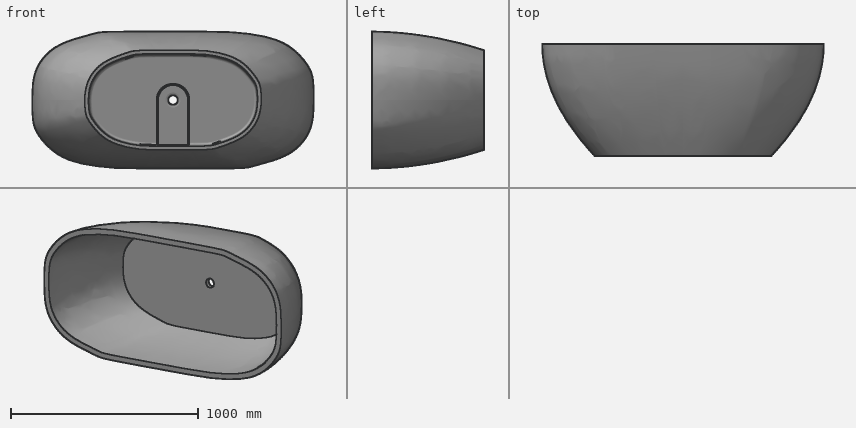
import cadquery as cq
import math

HEIGHT = 597.0
LENGTH = 1500.0
WIDTH = 730.0
FLAT_SHARE = 0.2

BASE_LENGTH, MID_LENGTH, RIM_LENGTH = 470.0, 680.0, LENGTH / 2
BASE_WIDTH, MID_WIDTH, RIM_WIDTH = 265.0, 339.0, WIDTH / 2
BASE_FULLNESS = 2.3
RIM_FULLNESS = 2.8
CURVE_STEPS = 4
SECTIONS = 5

BASE_LIP = 20.0
RECESS_DEPTH = 118.0
RECESS_DRAFT = 9.0
RECESS_FILLET = 10.0

WALL = 30.0
FLOOR_THICKNESS = 13.0
BOWL_FLOOR = RECESS_DEPTH + FLOOR_THICKNESS

PAD_RADIUS = 87.0
PAD_HEIGHT = 18.0
PAD_DRAFT = 7.0
PAD_FACE = RECESS_DEPTH - PAD_HEIGHT
DRAIN_RADIUS = 50.0 / 2
DRAIN_SEAT_RADIUS = 80.0 / 2
DRAIN_SEAT_DEPTH = 3.0


def through_three(low, middle, high, share):
    """Parabola through values at the base, mid height and rim."""
    bulge = middle - (low + high) / 2
    return low + (high - low) * share + 4 * bulge * share * (1 - share)


def half_length(y):
    return through_three(BASE_LENGTH, MID_LENGTH, RIM_LENGTH, y / HEIGHT)


def half_width(y):
    return through_three(BASE_WIDTH, MID_WIDTH, RIM_WIDTH, y / HEIGHT)


def oval(y, inset=0.0):
    """Oval wire at height y: straight long sides joined by full, rounded ends."""
    length = half_length(y) - inset
    width = half_width(y) - inset
    flat = FLAT_SHARE * half_length(y)
    fullness = BASE_FULLNESS + (RIM_FULLNESS - BASE_FULLNESS) * y / HEIGHT
    end_reach = length - flat

    def end_curve(side_x, side_z):
        """Points and end tangents of one rounded quarter, from the long side to the tip."""
        points = []
        for i in range(CURVE_STEPS + 1):
            angle = math.pi / 2 * i / CURVE_STEPS
            x = flat + end_reach * math.sin(angle) ** (2 / fullness)
            z = width * math.cos(angle) ** (2 / fullness)
            points.append(cq.Vector(side_x * x, y, side_z * z))
        return points, cq.Vector(side_x, 0, 0), cq.Vector(0, 0, -side_z)

    edges = []
    for side_x, side_z in ((1, 1), (1, -1), (-1, -1), (-1, 1)):
        points, along_side, at_tip = end_curve(side_x, side_z)
        center = cq.Vector(0, y, side_z * width)
        if side_x == side_z:
            edges.append(cq.Edge.makeLine(center, points[0]))
            edges.append(cq.Edge.makeSpline(points, tangents=[along_side, at_tip]))
        else:
            backward = [at_tip * -1, along_side * -1]
            edges.append(cq.Edge.makeSpline(points[::-1], tangents=backward))
            edges.append(cq.Edge.makeLine(points[0], center))
    return cq.Wire.assembleEdges(edges)


def skin(bottom, top, inset):
    """Solid inside the curved tub skin between two heights."""
    step = (top - bottom) / (SECTIONS - 1)
    wires = [oval(bottom + i * step, inset) for i in range(SECTIONS)]
    return cq.Workplane(obj=cq.Solid.makeLoft(wires))


def drain_pad():
    """Tapered U-shaped pad that hangs from the recess floor and runs to the -Z wall."""
    lower_end = BASE_WIDTH
    taper = math.degrees(math.atan(PAD_DRAFT / PAD_HEIGHT))
    profile = (
        cq.Workplane("XZ", origin=(0, RECESS_DEPTH, 0))
        .moveTo(-PAD_RADIUS, -lower_end)
        .lineTo(-PAD_RADIUS, 0)
        .threePointArc((0, PAD_RADIUS), (PAD_RADIUS, 0))
        .lineTo(PAD_RADIUS, -lower_end)
        .close()
    )
    return profile.extrude(PAD_HEIGHT, taper=taper)


def base_recess():
    """Space under the base: drafted oval pocket with a rounded floor, less the drain pad."""
    mouth = oval(0, BASE_LIP)
    floor = oval(0, BASE_LIP + RECESS_DRAFT).translate(cq.Vector(0, RECESS_DEPTH, 0))
    pocket = cq.Workplane(obj=cq.Solid.makeLoft([mouth, floor], True))
    pocket = pocket.faces(">Y").edges().fillet(RECESS_FILLET)
    return pocket.cut(drain_pad())


def drain():
    """Drain bore with a conical seat on the pad face."""
    up = cq.Vector(0, 1, 0)
    bore = cq.Solid.makeCylinder(DRAIN_RADIUS, HEIGHT, cq.Vector(0, 0, 0), up)
    seat = cq.Solid.makeCone(
        DRAIN_SEAT_RADIUS, DRAIN_RADIUS, DRAIN_SEAT_DEPTH, cq.Vector(0, PAD_FACE, 0), up
    )
    return cq.Workplane(obj=bore).union(cq.Workplane(obj=seat))


body = skin(0, HEIGHT, 0)
bowl = skin(BOWL_FLOOR, HEIGHT, WALL)
result = body.cut(bowl).cut(base_recess()).cut(drain())